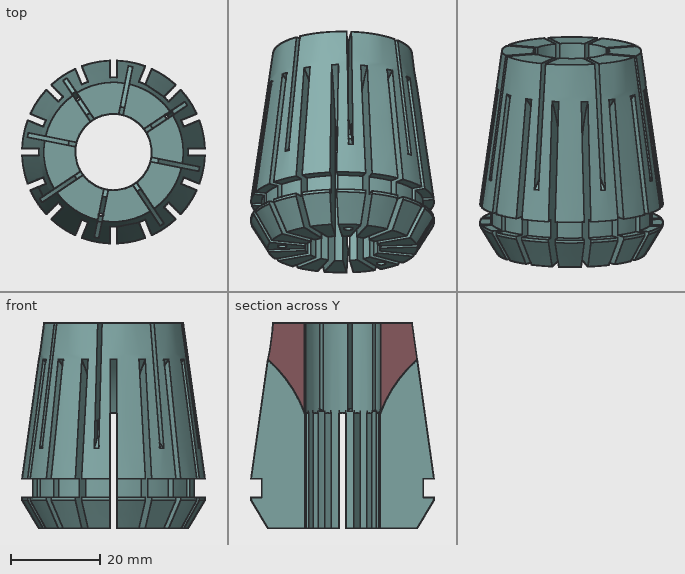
import cadquery as cq
import math

height = 46.0
outer_diameter = 41.05
taper_half_angle = 8.0
bore_diameter = 17.0

nose_diameter = 33.5
nose_cone_height = 6.3
flange_top = 6.95
neck_diameter = 36.25
shoulder_height = 11.05

cutter_radius = 29.9
bottom_slot_count = 16
bottom_slot_width = 1.5
bottom_cutter_offset = 36.52
bottom_cutter_height = 15.35
top_slot_count = 8
top_slot_width = 1.0
top_cutter_offset = 35.0
top_cutter_height = 43.5
center_cut_bottom = 25.0

coolant_diameter = 2.02
coolant_base_offset = 13.55
coolant_tilt = 3.8
coolant_length = 24.15
coolant_slots = (0, 2, 5)

overrun = 0.45

bottom_slot_pitch = 360.0 / bottom_slot_count
top_slot_pitch = 360.0 / top_slot_count
top_slot_start = 1.5 * bottom_slot_pitch


def tapered_body():
    """Solid of revolution with the bore, flange and extraction groove."""
    outer = outer_diameter / 2
    bore = bore_diameter / 2
    neck = neck_diameter / 2
    taper = math.tan(math.radians(taper_half_angle))
    top_radius = outer - (height - shoulder_height) * taper
    return (
        cq.Workplane("XZ")
        .moveTo(bore, 0)
        .lineTo(nose_diameter / 2, 0)
        .lineTo(outer, nose_cone_height)
        .lineTo(outer, flange_top)
        .lineTo(neck, flange_top)
        .lineTo(neck, shoulder_height)
        .lineTo(outer, shoulder_height)
        .lineTo(top_radius, height)
        .lineTo(bore, height)
        .close()
        .revolve(360, (0, 0, 0), (0, 1, 0))
    )


def slot_cutter(width, center_offset, center_height, open_end, direction):
    """Radial slot along +X: open at height open_end, closed by a quarter arc on the side of direction."""
    diagonal = cutter_radius * math.sqrt(0.5)
    inner = center_offset - cutter_radius
    return (
        cq.Workplane("XZ")
        .moveTo(inner, open_end)
        .lineTo(inner, center_height)
        .threePointArc(
            (center_offset - diagonal, center_height + direction * diagonal),
            (center_offset, center_height + direction * cutter_radius),
        )
        .lineTo(center_offset, open_end)
        .close()
        .extrude(width / 2, both=True)
    )


def center_cutter():
    """Whole disc centered over the axis, deepening a pair of opposite top slots next to the bore."""
    return (
        cq.Workplane("XZ")
        .center(0, center_cut_bottom + cutter_radius)
        .circle(cutter_radius)
        .extrude(top_slot_width / 2, both=True)
    )


def coolant_cutter():
    """Round hole in the +X half plane, leaning outward as it rises."""
    tilt = math.radians(coolant_tilt)
    axis = cq.Vector(math.sin(tilt), 0, math.cos(tilt))
    start = cq.Vector(coolant_base_offset, 0, 0) - axis * overrun
    length = coolant_length + overrun
    return cq.Workplane(cq.Solid.makeCylinder(coolant_diameter / 2, length, start, axis))


def turned(shape, angle):
    return shape.rotate((0, 0, 0), (0, 0, 1), angle)


result = tapered_body()

bottom_slot = slot_cutter(bottom_slot_width, bottom_cutter_offset, bottom_cutter_height, -overrun, 1)
for i in range(bottom_slot_count):
    result = result.cut(turned(bottom_slot, i * bottom_slot_pitch))

top_slot = slot_cutter(top_slot_width, top_cutter_offset, top_cutter_height, height + overrun, -1)
for i in range(top_slot_count):
    result = result.cut(turned(top_slot, top_slot_start + i * top_slot_pitch))
for i in range(top_slot_count // 2):
    result = result.cut(turned(center_cutter(), top_slot_start + i * top_slot_pitch))

for i in coolant_slots:
    result = result.cut(turned(coolant_cutter(), top_slot_start + i * top_slot_pitch))